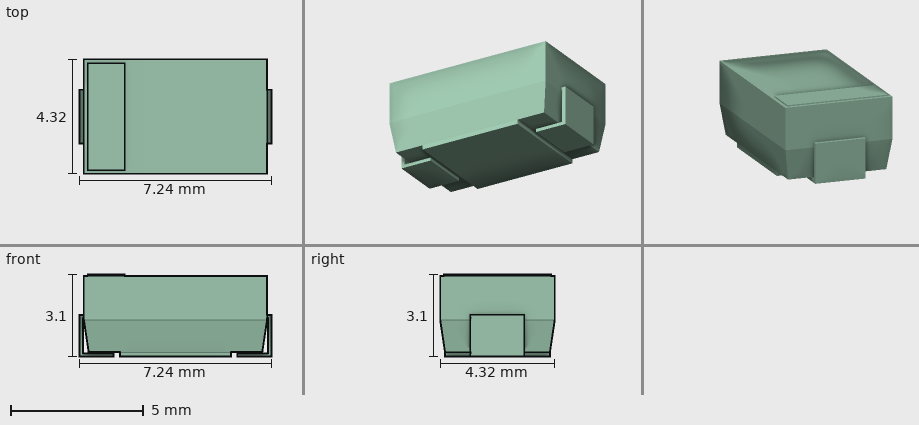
import cadquery as cq

overall_length = 7.24
overall_height = 3.1

housing_length = 6.91
housing_width = 4.32
marker_height = 0.05
housing_top = overall_height - marker_height
parting_height = 1.39
housing_bottom = 0.175
taper_inset = 0.18
base_length = housing_length - 2 * taper_inset
base_width = housing_width - 2 * taper_inset

pad_length = 4.185

marker_inset = 0.145
marker_length = 1.39
marker_width = housing_width - 2 * marker_inset

terminal_width = 2.035
terminal_height = 1.58
terminal_thickness = 0.145
foot_length = 1.295
foot_thickness = 0.13
tab_thickness = 0.115


def make_housing():
    """Moulded housing with tapered underside and integral pad."""
    upper = (
        cq.Workplane("XY", origin=(0, 0, parting_height))
        .rect(housing_length, housing_width)
        .extrude(housing_top - parting_height)
    )
    lower = (
        cq.Workplane("XY", origin=(0, 0, housing_bottom))
        .rect(base_length, base_width)
        .workplane(offset=parting_height - housing_bottom)
        .rect(housing_length, housing_width)
        .loft(ruled=True)
    )
    pad = cq.Workplane("XY").rect(pad_length, base_width).extrude(housing_bottom)
    return upper.union(lower).union(pad)


def make_marker():
    """Thin polarity bar near the -X end of the top face."""
    center_x = -housing_length / 2 + marker_inset + marker_length / 2
    return (
        cq.Workplane("XY", origin=(center_x, 0, housing_top))
        .rect(marker_length, marker_width)
        .extrude(marker_height)
    )


def make_terminal(side):
    """Terminal at one end: a short top tab meeting the housing, an upright and a foot."""
    outer_x = side * overall_length / 2
    inner_x = side * (overall_length / 2 - terminal_thickness)
    housing_x = side * housing_length / 2
    foot_x = side * (overall_length / 2 - foot_length)
    tab_bottom = terminal_height - tab_thickness
    profile = [
        (outer_x, 0),
        (outer_x, terminal_height),
        (housing_x, terminal_height),
        (housing_x, tab_bottom),
        (inner_x, tab_bottom),
        (inner_x, foot_thickness),
        (foot_x, foot_thickness),
        (foot_x, 0),
    ]
    return cq.Workplane("XZ").polyline(profile).close().extrude(terminal_width / 2, both=True)


housing = make_housing()
marker = make_marker()
terminals = [make_terminal(side) for side in (-1, 1)]

result = cq.Compound.makeCompound(
    [housing.val(), marker.val(), *[terminal.val() for terminal in terminals]]
)